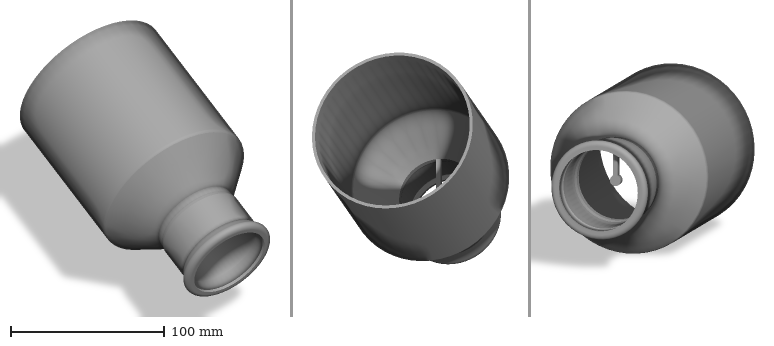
import cadquery as cq
import math

wall = 2.0
pipe_radius = 54.0
neck_radius = 28.4
socket_radius = 29.0

length = 172.0
pipe_end = 102.7
cone_start = 104.7
cone_end = 129.9
neck_end = 134.3
socket_start = 137.0
socket_end = 161.7

bead_radius = 3.3
bead_crest_radius = 32.9
flare_angle = 36.0
bead_center_x = length - bead_radius
bead_center_r = bead_crest_radius - bead_radius

hub_radius = 3.6
stem_width = 3.0

shoulder_drop = 0.7
shoulder_bulge = 0.2


def bead_point(radius, angle):
    """Point on a circle about the bead centre; the angle is measured from +X."""
    turn = math.radians(angle)
    return (bead_center_x + radius * math.cos(turn), bead_center_r + radius * math.sin(turn))


def make_shell():
    flare_tangent = 90 + flare_angle
    hollow_radius = bead_radius - wall
    shoulder_middle = ((pipe_end + cone_start) / 2, pipe_radius - shoulder_bulge)
    inner_shoulder_middle = (shoulder_middle[0], shoulder_middle[1] - wall)
    socket_bore = socket_radius - wall
    profile = (
        cq.Workplane("XY")
        .moveTo(0, pipe_radius)
        .lineTo(pipe_end, pipe_radius)
        .threePointArc(shoulder_middle, (cone_start, pipe_radius - shoulder_drop))
        .lineTo(cone_end, neck_radius)
        .lineTo(neck_end, neck_radius)
        .lineTo(socket_start, socket_radius)
        .lineTo(socket_end, socket_radius)
        .lineTo(*bead_point(bead_radius, flare_tangent))
        .threePointArc(bead_point(bead_radius, 90), bead_point(bead_radius, 0))
        .lineTo(length, socket_bore)
        .lineTo(length - wall, socket_bore)
        .lineTo(*bead_point(hollow_radius, 0))
        .threePointArc(bead_point(hollow_radius, 90), bead_point(hollow_radius, flare_tangent))
        .lineTo(socket_end, socket_bore)
        .lineTo(socket_start, socket_bore)
        .lineTo(neck_end, neck_radius - wall)
        .lineTo(cone_end, neck_radius - wall)
        .lineTo(cone_start, pipe_radius - shoulder_drop - wall)
        .threePointArc(inner_shoulder_middle, (pipe_end, pipe_radius - wall))
        .lineTo(0, pipe_radius - wall)
        .close()
    )
    return profile.revolve(360, (0, 0, 0), (1, 0, 0))


def make_web():
    web_length = neck_end - cone_end
    stem_height = neck_radius - wall / 2
    plane = cq.Workplane("YZ", origin=(cone_end, 0, 0))
    hub = plane.circle(hub_radius).extrude(web_length)
    stem = plane.center(0, stem_height / 2).rect(stem_width, stem_height).extrude(web_length)
    return hub.union(stem)


result = make_shell().union(make_web())